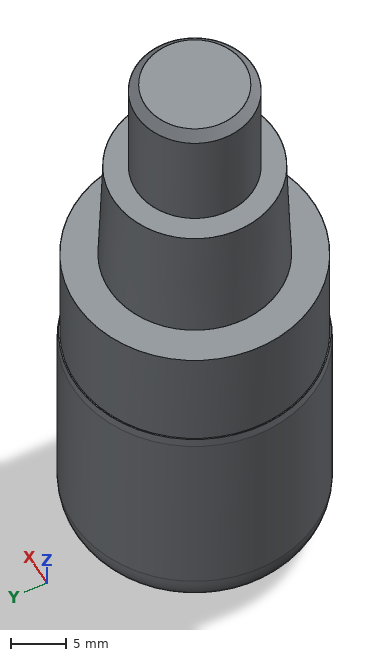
import cadquery as cq

total_height = 62.75

cap_radius = 12.5
cap_height = 26.0
cap_bottom_round = 5.0
rim_taper_height = 0.9
rim_inset = 0.1

collar_radius = 12.25
collar_top = 37.6
cone_base_radius = 8.8
cone_top_radius = 8.35
cone_top = 50.65
pin_radius = 6.0
pin_chamfer = 0.95


def revolve_about_z(profile):
    """Revolve a closed half profile, drawn as (radius, height), about Z."""
    return profile.close().revolve(360, (0, 0, 0), (0, 1, 0))


def make_cap():
    """Solid cap with a rounded underside and a slightly tapered upper rim."""
    profile = (
        cq.Workplane("XZ")
        .lineTo(cap_radius - cap_bottom_round, 0)
        .radiusArc((cap_radius, cap_bottom_round), -cap_bottom_round)
        .lineTo(cap_radius, cap_height - rim_taper_height)
        .lineTo(cap_radius - rim_inset, cap_height)
        .lineTo(0, cap_height)
    )
    return revolve_about_z(profile)


def make_spindle():
    """Turned collar, tapered shoulder and chamfered pin in one solid."""
    profile = (
        cq.Workplane("XZ")
        .moveTo(0, cap_height)
        .lineTo(collar_radius, cap_height)
        .lineTo(collar_radius, collar_top)
        .lineTo(cone_base_radius, collar_top)
        .lineTo(cone_top_radius, cone_top)
        .lineTo(pin_radius, cone_top)
        .lineTo(pin_radius, total_height - pin_chamfer)
        .lineTo(pin_radius - pin_chamfer, total_height)
        .lineTo(0, total_height)
    )
    return revolve_about_z(profile)


cap = make_cap()
spindle = make_spindle()

result = cq.Compound.makeCompound([cap.val(), spindle.val()])